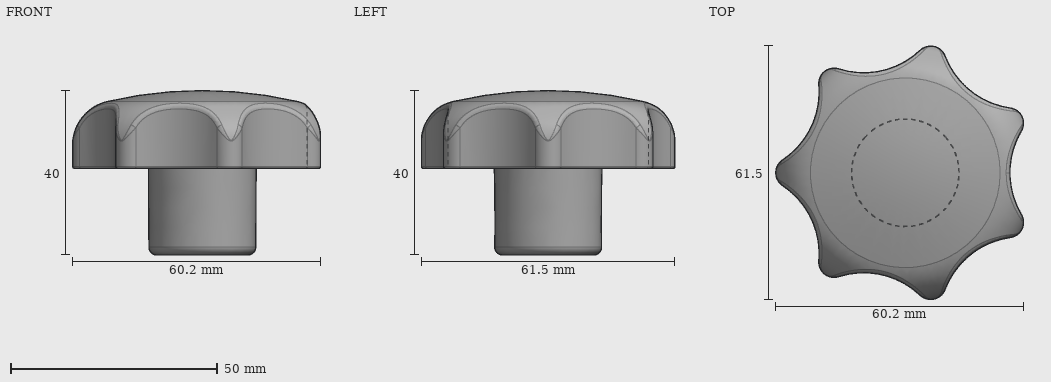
import cadquery as cq
import math

LOBE_COUNT = 7
TIP_CENTER_RADIUS = 27.7
TIP_RADIUS = 3.75
VALLEY_RADIUS = 25.45
OUTER_RADIUS = TIP_CENTER_RADIUS + TIP_RADIUS

HEAD_HEIGHT = 19.0
HUB_LENGTH = 21.0

DOME_EDGE_RADIUS = 23.05
DOME_RISE = 2.65
BLANK_ALLOWANCE = 0.05

HUB_TOP_RADIUS = 13.1
HUB_BOTTOM_RADIUS = 13.0
HUB_ROUNDING = 2.0

SCALLOP_ROUNDING = 1.5
UNDERSIDE_ROUNDING = 0.5

DOME_RADIUS = (DOME_EDGE_RADIUS**2 + DOME_RISE**2) / (2 * DOME_RISE)
DOME_EDGE_ANGLE = math.asin(DOME_EDGE_RADIUS / DOME_RADIUS)
DOME_EDGE_HEIGHT = HEAD_HEIGHT - DOME_RISE
BLANK_RADIUS = OUTER_RADIUS + BLANK_ALLOWANCE
SHOULDER_RADIUS = (BLANK_RADIUS - DOME_EDGE_RADIUS) / (1 - math.sin(DOME_EDGE_ANGLE))
SHOULDER_START_HEIGHT = DOME_EDGE_HEIGHT - SHOULDER_RADIUS * math.cos(DOME_EDGE_ANGLE)

HALF_PITCH = math.pi / LOBE_COUNT
TIP_ALONG = TIP_CENTER_RADIUS * math.cos(HALF_PITCH)
TIP_ACROSS = TIP_CENTER_RADIUS * math.sin(HALF_PITCH)
VALLEY_GAP = VALLEY_RADIUS - TIP_ALONG
SCALLOP_RADIUS = (TIP_ACROSS**2 + VALLEY_GAP**2 - TIP_RADIUS**2) / (2 * (TIP_RADIUS - VALLEY_GAP))
SCALLOP_CENTER_RADIUS = VALLEY_RADIUS + SCALLOP_RADIUS
TANGENT_SHARE = TIP_RADIUS / (TIP_RADIUS + SCALLOP_RADIUS)
TANGENT_ALONG = TIP_ALONG + TANGENT_SHARE * (SCALLOP_CENTER_RADIUS - TIP_ALONG)
TANGENT_ACROSS = TIP_ACROSS * (1 - TANGENT_SHARE)
TANGENT_RADIUS = math.hypot(TANGENT_ALONG, TANGENT_ACROSS)
TANGENT_ANGLE = math.atan2(TANGENT_ACROSS, TANGENT_ALONG)


def polar(radius, angle):
    return (radius * math.cos(angle), radius * math.sin(angle))


def make_star_prism():
    """Lobed prism; one scallop faces +X and one lobe points to -X."""
    outline = cq.Workplane("XY").moveTo(*polar(TANGENT_RADIUS, -TANGENT_ANGLE))
    for index in range(LOBE_COUNT):
        valley = 2 * HALF_PITCH * index
        tip = valley + HALF_PITCH
        next_valley = tip + HALF_PITCH
        outline = outline.threePointArc(
            polar(VALLEY_RADIUS, valley), polar(TANGENT_RADIUS, valley + TANGENT_ANGLE)
        )
        outline = outline.threePointArc(
            polar(OUTER_RADIUS, tip), polar(TANGENT_RADIUS, next_valley - TANGENT_ANGLE)
        )
    return outline.close().extrude(HEAD_HEIGHT)


def make_domed_blank():
    """Solid of revolution that gives the head its dome and shoulder."""
    dome_mid_angle = DOME_EDGE_ANGLE / 2
    dome_mid = (
        DOME_RADIUS * math.sin(dome_mid_angle),
        HEAD_HEIGHT - DOME_RADIUS * (1 - math.cos(dome_mid_angle)),
    )
    shoulder_mid_angle = (DOME_EDGE_ANGLE + math.pi / 2) / 2
    shoulder_mid = (
        BLANK_RADIUS - SHOULDER_RADIUS * (1 - math.sin(shoulder_mid_angle)),
        SHOULDER_START_HEIGHT + SHOULDER_RADIUS * math.cos(shoulder_mid_angle),
    )
    return (
        cq.Workplane("XZ")
        .lineTo(BLANK_RADIUS, 0)
        .lineTo(BLANK_RADIUS, SHOULDER_START_HEIGHT)
        .threePointArc(shoulder_mid, (DOME_EDGE_RADIUS, DOME_EDGE_HEIGHT))
        .threePointArc(dome_mid, (0, HEAD_HEIGHT))
        .close()
        .revolve(360, (0, 0), (0, 1))
    )


def make_head():
    prism = make_star_prism().faces("<Z").edges().fillet(UNDERSIDE_ROUNDING)
    head = prism.intersect(make_domed_blank())
    return head.edges("%BSPLINE").fillet(SCALLOP_ROUNDING)


def make_hub():
    hub = (
        cq.Workplane("XZ")
        .lineTo(HUB_TOP_RADIUS, 0)
        .lineTo(HUB_BOTTOM_RADIUS, -HUB_LENGTH)
        .lineTo(0, -HUB_LENGTH)
        .close()
        .revolve(360, (0, 0), (0, 1))
    )
    return hub.faces("<Z").edges().fillet(HUB_ROUNDING)


knob = make_head().union(make_hub())

result = cq.Compound.makeCompound([knob.val()])